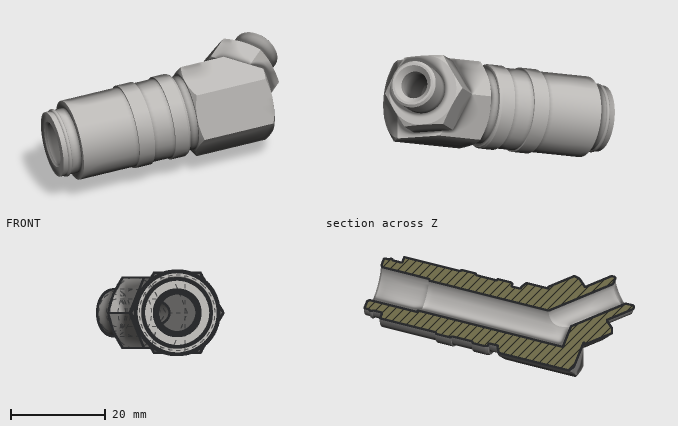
import cadquery as cq
import math

overall_length = 54.5

tail_radius = 7.05
tail_end = 4.0
ring_center = 1.5
ring_section_radius = 0.45
ring_reach = 7.35
sleeve_radius = 8.6
band_radius = 9.0
lower_band_start = 16.45
lower_band_end = 19.95
upper_band_start = 24.6
upper_band_end = 28.05
band_chamfer_length = 0.5
band_chamfer_depth = 0.25
neck_radius = 8.0

body_start = 30.05
body_end = 47.15
body_flats = 17.0

branch_angle = 45
nut_start = 5.6
nut_length = 7.1
nut_flats = 15.0
stub_radius = 5.0
stub_end = 19.5
stub_chamfer = 0.5
branch_radians = math.radians(branch_angle)
stub_reach = (stub_end - stub_chamfer) * math.cos(branch_radians) + stub_radius * math.sin(branch_radians)
elbow_y = overall_length - stub_reach

mouth_radius = 4.95
mouth_chamfer = 0.45
socket_radius = mouth_radius - mouth_chamfer
socket_depth = 10.9
bore_radius = 4.1
bore_depth = 43.2
branch_bore_radius = 2.9
cone_mouth_radius = 4.05
cone_depth = 1.2

corner_chamfer_angle = 30
cut_size = 109.0


def revolve_y(points):
    """Revolve an outline of (radius, y) points about the Y axis."""
    return cq.Workplane("XY").polyline(points).close().revolve(360, (0, 0, 0), (0, 1, 0))


def cylinder_y(radius, start, end):
    return revolve_y([(0, start), (radius, start), (radius, end), (0, end)])


def hex_prism(flats, start, end, chamfer_start):
    """Hexagon along Y with corners on X; its corners are turned down conically at the ends."""
    corner_radius = flats / math.sqrt(3)
    face_radius = flats / 2
    chamfer_length = (corner_radius - face_radius) * math.tan(math.radians(corner_chamfer_angle))
    corners = [
        (corner_radius * math.cos(math.radians(60 * i)), corner_radius * math.sin(math.radians(60 * i)))
        for i in range(6)
    ]
    prism = (
        cq.Workplane("XZ").workplane(offset=-start).polyline(corners).close().extrude(start - end)
    )
    if chamfer_start:
        start_outline = [(0, start), (face_radius, start), (corner_radius, start + chamfer_length)]
    else:
        start_outline = [(0, start), (corner_radius, start)]
    end_outline = [(corner_radius, end - chamfer_length), (face_radius, end), (0, end)]
    return prism.intersect(revolve_y(start_outline + end_outline))


def onto_branch(shape):
    """Move a shape built along +Y onto the branch axis."""
    return shape.rotate((0, 0, 0), (0, 0, 1), branch_angle).translate((0, elbow_y, 0))


def make_sleeve():
    sleeve = revolve_y([
        (0, 0),
        (tail_radius, 0),
        (tail_radius, tail_end),
        (sleeve_radius, tail_end),
        (sleeve_radius, lower_band_start),
        (band_radius, lower_band_start),
        (band_radius, lower_band_end),
        (sleeve_radius, lower_band_end),
        (sleeve_radius, upper_band_start),
        (band_radius, upper_band_start),
        (band_radius, upper_band_end - band_chamfer_length),
        (band_radius - band_chamfer_depth, upper_band_end),
        (neck_radius, upper_band_end),
        (neck_radius, body_start),
        (0, body_start),
    ])
    ring_radius = ring_reach - ring_section_radius
    ring = (
        cq.Workplane("XY")
        .center(ring_radius, ring_center)
        .circle(ring_section_radius)
        .revolve(360, (-ring_radius, 0, 0), (-ring_radius, 1, 0))
    )
    return sleeve.union(ring)


def make_body():
    """Hexagonal body with one corner sliced off square to the branch."""
    body = hex_prism(body_flats, body_start, body_end, chamfer_start=True)
    beyond_nut_face = cq.Workplane("XY").box(
        cut_size, cut_size, cut_size, centered=(True, False, True)
    ).translate((0, nut_start, 0))
    return body.cut(onto_branch(beyond_nut_face))


def make_branch():
    nut = hex_prism(nut_flats, nut_start, nut_start + nut_length, chamfer_start=False)
    stub = cylinder_y(stub_radius, nut_start, stub_end).faces(">Y").chamfer(stub_chamfer)
    return onto_branch(nut.union(stub))


def make_main_bore():
    return revolve_y([
        (0, 0),
        (mouth_radius, 0),
        (socket_radius, mouth_chamfer),
        (socket_radius, socket_depth),
        (bore_radius, socket_depth),
        (bore_radius, bore_depth),
        (0, bore_depth),
    ])


def make_branch_bore():
    """Straight passage from the elbow, flaring to a cone at the stub mouth."""
    return onto_branch(revolve_y([
        (0, 0),
        (branch_bore_radius, 0),
        (branch_bore_radius, stub_end - cone_depth),
        (cone_mouth_radius, stub_end),
        (0, stub_end),
    ]))


solid = make_sleeve().union(make_body()).union(make_branch())
result = solid.cut(make_main_bore()).cut(make_branch_bore())